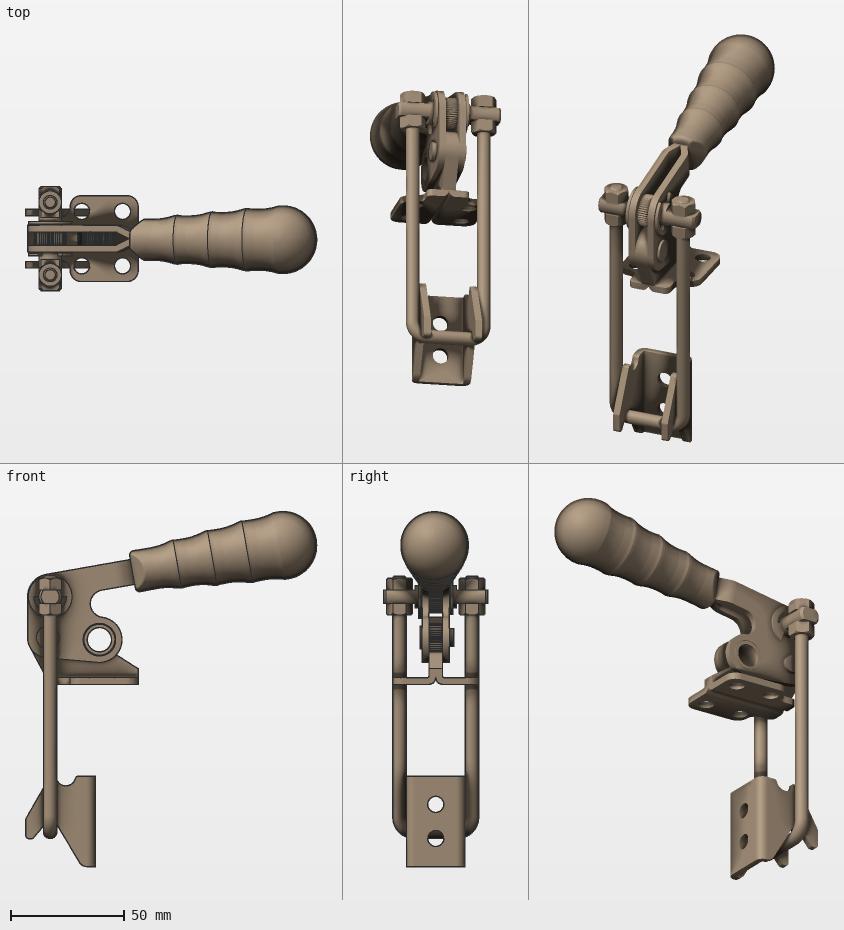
import cadquery as cq
import math


SHEET = 3.0
HANDLE_TILT = 10.0
CUT_REACH = 200.0

RIVET_X, RIVET_Z = -1.0, -18.0
RIVET_SHANK_RADIUS = 3.0
PIVOT_LOBE_RADIUS = 9.0
BUSH_X, BUSH_Z = 21.7, -19.0
BUSH_RADIUS = 7.2
TRUNNION_RADIUS = 5.0
ROD_RADIUS = 3.0
ROD_Y = 16.0

TANG_LOW, TANG_HIGH = -1.2, 10.0
TANG_MID = (TANG_LOW + TANG_HIGH) / 2
TANG_END = 75.0

BASE_BOTTOM = -38.75
BASE_RIGHT = 38.85
FLANGE_TOP = BASE_BOTTOM + SHEET
FLANGE_HALF_WIDTH = 19.0
FLANGE_LEFT = 8.75
FLANGE_CORNER = 5.0
TONGUE_HALF_WIDTH = 9.5
TONGUE_CORNER = 2.5
TONGUE_BLEND = 4.4
FLANK_ANGLE = 62.0
WEB_RIGHT_TOP = -31.8
WEB_RIGHT_SLOPE = -0.64
WEB_SHOULDER_X = 12.1
POCKET_RADIUS = BUSH_RADIUS + 0.3
POCKET_ENTRY_ANGLE = 170.0
BEND_INNER_RADIUS = 0.9
BASE_HOLE_RADIUS = 3.5
BASE_HOLE_X = (13.9, 31.9)
BASE_HOLE_Y = 12.0

LEVER_HALF_WIDTH = 2 * SHEET
LEVER_HEAD_RADIUS = 10.0
BUSH_LOBE_RADIUS = 10.0
THROAT_RADIUS = 6.0
JOG_START, JOG_END = 31.7, 37.7
JOG_OUTER_RADIUS = 7.5
JOG_INNER_RADIUS = JOG_OUTER_RADIUS - SHEET
BUSH_BORE_RADIUS = 5.3
GROOVE_WIDTH, GROOVE_DEPTH = 0.4, 0.3
RIVET_HEAD_RADIUS, RIVET_HEAD_HEIGHT = 5.0, 1.0
RIVET_TAIL_RADIUS, RIVET_TAIL_HEIGHT = 4.0, 2.0

TOOTH_COUNT = 44
TOOTH_DEPTH = 0.4

GRIP_START = 37.6
NECK_RADIUS = 9.2
NECK_ROUNDING = 2.0
CROWN_START, CROWN_PITCH, CROWN_WIDTH = 56.3, 15.65, 2.8
CROWN_RADII = (10.6, 12.1, 13.6)
CROWN_RIDGE = 0.25
WAIST_TO_CROWN = 8.8
WAIST_DROP = 0.1
HOLLOW_SAG = 0.35
BALL_RADIUS = 15.0
BALL_CENTRE = 104.9
FACET_END = 43.0
FACET_ROUNDING = 1.0
GRIP_OFFSET_Y = -0.5

TRUNNION_HALF_LENGTH = 23.0
TRUNNION_CHAMFER = 1.0
FLAT_START_Y = 9.2
FLAT_HALF_HEIGHT = 3.0
HUB_RADIUS = 7.2
CLIP_RADIUS = 9.6
CLIP_INNER_Y, CLIP_OUTER_Y = 6.4, 7.6
CLIP_SLOT_RADIUS = 7.2
CLIP_SLOT_FLOOR = TRUNNION_RADIUS + 0.2
CLIP_SLOT_SWEEP = 65.0
CLIP_MOUTH_HALF_WIDTH = 6.0
CLIP_MOUTH_ROOT_HALF_WIDTH = 3.5
CLIP_MOUTH_ROOT_Z = 3.5

ROD_TOP = 9.0
ROD_END_CHAMFER = 0.7
CROSSBAR_Z = -103.7
ROD_BEND_RADIUS = 6.5
NUT_ACROSS_FLATS = 10.0
NUT_HEIGHT = 5.2

CATCH_RIGHT = 20.0
CATCH_LEFT = -10.8
CATCH_TOP = -79.1
CATCH_HEIGHT = 40.0
CATCH_BOTTOM = CATCH_TOP - CATCH_HEIGHT
CATCH_HALF_WIDTH = ROD_Y - ROD_RADIUS
CATCH_BEND_INNER = 0.7
CATCH_HOLE_RADIUS = 3.5
CATCH_HOLE_PITCH = 15.0
FOOT_BOTTOM = -106.8
FOOT_RIGHT = -7.7
SHOULDER_Z = -98.0
MOUTH_LEFT, MOUTH_RIGHT, MOUTH_Z = -2.5, ROD_RADIUS, -100.6
HEEL_X = 14.0
TIP_ROUNDING, FOOT_ROUNDING, HEEL_ROUNDING = 1.0, 1.5, 4.0
DIMPLE_X, DIMPLE_RADIUS = 6.9, 4.3
DIMPLE_RIM_ROUNDING = 1.5


def polar(x, z, radius, degrees):
    """Point on a circle about (x, z) in the XZ plane."""
    angle = math.radians(degrees)
    return (x + radius * math.cos(angle), z + radius * math.sin(angle))


def tilted(along, across):
    """XZ point given by distances along and across the tilted handle axis."""
    angle = math.radians(HANDLE_TILT)
    return (
        along * math.cos(angle) - across * math.sin(angle),
        along * math.sin(angle) + across * math.cos(angle),
    )


def tilt(body):
    return body.rotate((0, 0, 0), (0, 1, 0), -HANDLE_TILT)


def slab(profile, y_low, y_high):
    """Extrude an XZ profile between two Y values."""
    return profile.extrude(y_high - y_low).translate((0, y_high, 0))


def disc(x, z, radius, y_low, y_high):
    return slab(cq.Workplane("XZ").center(x, z).circle(radius), y_low, y_high)


def serrated_roller(x, z, radius):
    """Roller with V teeth along Y that fills the gap between the lever cheeks."""
    step = 360.0 / TOOTH_COUNT
    points = []
    for tooth in range(TOOTH_COUNT):
        points.append(polar(x, z, radius, tooth * step))
        points.append(polar(x, z, radius - TOOTH_DEPTH, (tooth + 0.5) * step))
    return slab(cq.Workplane("XZ").polyline(points).close(), -SHEET, SHEET)


def make_base():
    flank_normal = 180.0 + 90.0 - FLANK_ANGLE
    flank_top = polar(RIVET_X, RIVET_Z, PIVOT_LOBE_RADIUS, flank_normal)
    run = (flank_top[1] - FLANGE_TOP) / math.tan(math.radians(FLANK_ANGLE))
    web_left = flank_top[0] + run

    shoulder_z = RIVET_Z + PIVOT_LOBE_RADIUS
    pocket_entry = polar(BUSH_X, BUSH_Z, POCKET_RADIUS, POCKET_ENTRY_ANGLE)
    web = (
        cq.Workplane("XZ")
        .moveTo(web_left, FLANGE_TOP)
        .lineTo(*flank_top)
        .threePointArc(
            polar(RIVET_X, RIVET_Z, PIVOT_LOBE_RADIUS, 150),
            (RIVET_X, shoulder_z),
        )
        .lineTo(WEB_SHOULDER_X, shoulder_z)
        .lineTo(*pocket_entry)
        .lineTo(BUSH_X, WEB_RIGHT_TOP + WEB_RIGHT_SLOPE * (BUSH_X - BASE_RIGHT))
        .lineTo(BASE_RIGHT, WEB_RIGHT_TOP)
        .lineTo(BASE_RIGHT, FLANGE_TOP)
        .close()
    )
    web = slab(web, -SHEET, SHEET)
    web = web.cut(disc(BUSH_X, BUSH_Z, POCKET_RADIUS, -SHEET, SHEET))
    web = web.cut(disc(RIVET_X, RIVET_Z, RIVET_SHANK_RADIUS, -SHEET, SHEET))

    plate_length = BASE_RIGHT - FLANGE_LEFT
    plate = (
        cq.Workplane("XY", origin=(FLANGE_LEFT + plate_length / 2, 0, BASE_BOTTOM))
        .rect(plate_length, 2 * FLANGE_HALF_WIDTH)
        .extrude(SHEET)
        .edges("|Z")
        .fillet(FLANGE_CORNER)
    )
    tongue_length = BASE_RIGHT - web_left
    tongue = (
        cq.Workplane("XY", origin=(web_left + tongue_length / 2, 0, BASE_BOTTOM))
        .rect(tongue_length, 2 * TONGUE_HALF_WIDTH)
        .extrude(SHEET)
        .edges("|Z and <X")
        .fillet(TONGUE_CORNER)
    )
    flange = plate.union(tongue)
    for side in (-1, 1):
        corner = cq.selectors.NearestToPointSelector(
            (FLANGE_LEFT, side * TONGUE_HALF_WIDTH, BASE_BOTTOM + SHEET / 2)
        )
        flange = flange.edges(corner).fillet(TONGUE_BLEND)
    holes = [(x, side * BASE_HOLE_Y) for x in BASE_HOLE_X for side in (-1, 1)]
    flange = flange.cut(
        cq.Workplane("XY", origin=(0, 0, BASE_BOTTOM))
        .pushPoints(holes)
        .circle(BASE_HOLE_RADIUS)
        .extrude(SHEET)
    )

    inner_bend = (
        cq.Workplane("YZ", origin=(web_left, 0, 0))
        .moveTo(-SHEET - BEND_INNER_RADIUS, FLANGE_TOP)
        .radiusArc((-SHEET, FLANGE_TOP + BEND_INNER_RADIUS), -BEND_INNER_RADIUS)
        .lineTo(SHEET, FLANGE_TOP + BEND_INNER_RADIUS)
        .radiusArc((SHEET + BEND_INNER_RADIUS, FLANGE_TOP), -BEND_INNER_RADIUS)
        .close()
        .extrude(tongue_length)
    )
    outer_bend = (
        cq.Workplane("YZ", origin=(web_left, 0, 0))
        .moveTo(-SHEET, BASE_BOTTOM)
        .radiusArc((0, FLANGE_TOP), -SHEET)
        .radiusArc((SHEET, BASE_BOTTOM), -SHEET)
        .close()
        .extrude(tongue_length)
    )
    return web.union(flange).union(inner_bend).cut(outer_bend)


def lever_outline():
    throat_across = TANG_LOW - THROAT_RADIUS
    cosine = math.cos(math.radians(HANDLE_TILT))
    sine = math.sin(math.radians(HANDLE_TILT))
    bush_along = BUSH_X * cosine + BUSH_Z * sine
    bush_across = BUSH_Z * cosine - BUSH_X * sine
    reach = BUSH_LOBE_RADIUS + THROAT_RADIUS
    throat_along = bush_along + math.sqrt(reach**2 - (throat_across - bush_across) ** 2)
    throat_x, throat_z = tilted(throat_along, throat_across)
    to_throat = math.degrees(math.atan2(throat_z - BUSH_Z, throat_x - BUSH_X))

    span = math.hypot(BUSH_X - RIVET_X, BUSH_Z - RIVET_Z)
    centre_line = math.degrees(math.atan2(BUSH_Z - RIVET_Z, BUSH_X - RIVET_X))
    growth = math.degrees(math.asin((BUSH_LOBE_RADIUS - PIVOT_LOBE_RADIUS) / span))
    below = centre_line - 90.0 - growth

    return (
        cq.Workplane("XZ")
        .moveTo(*tilted(TANG_END, TANG_HIGH))
        .lineTo(*tilted(0, LEVER_HEAD_RADIUS))
        .threePointArc(polar(0, 0, LEVER_HEAD_RADIUS, 140), (-LEVER_HEAD_RADIUS, 0))
        .lineTo(RIVET_X - PIVOT_LOBE_RADIUS, RIVET_Z)
        .threePointArc(
            polar(RIVET_X, RIVET_Z, PIVOT_LOBE_RADIUS, 225),
            polar(RIVET_X, RIVET_Z, PIVOT_LOBE_RADIUS, below),
        )
        .lineTo(*polar(BUSH_X, BUSH_Z, BUSH_LOBE_RADIUS, below))
        .threePointArc(
            polar(BUSH_X, BUSH_Z, BUSH_LOBE_RADIUS, 0),
            polar(BUSH_X, BUSH_Z, BUSH_LOBE_RADIUS, to_throat),
        )
        .threePointArc(
            polar(throat_x, throat_z, THROAT_RADIUS, 180),
            tilted(throat_along, TANG_LOW),
        )
        .lineTo(*tilted(TANG_END, TANG_LOW))
        .close()
    )


def lever_plan():
    """Cheeks, jog and tang as seen across the tilted axis."""
    jog_angle = math.atan2(SHEET, JOG_END - JOG_START)
    shift = SHEET * math.tan(jog_angle / 2)
    points = [
        (-CUT_REACH, LEVER_HALF_WIDTH),
        (JOG_START, LEVER_HALF_WIDTH),
        (JOG_END, SHEET),
        (TANG_END, SHEET),
        (TANG_END, -SHEET),
        (JOG_END, -SHEET),
        (JOG_START, -LEVER_HALF_WIDTH),
        (-CUT_REACH, -LEVER_HALF_WIDTH),
        (-CUT_REACH, -SHEET),
        (JOG_START - shift, -SHEET),
        (JOG_END - shift, 0),
        (JOG_START - shift, SHEET),
        (-CUT_REACH, SHEET),
    ]
    plan = cq.Workplane("XY").polyline(points).close().extrude(CUT_REACH / 2, both=True)
    bends = [
        (JOG_START, LEVER_HALF_WIDTH, JOG_OUTER_RADIUS),
        (JOG_START - shift, SHEET, JOG_INNER_RADIUS),
        (JOG_END, SHEET, JOG_INNER_RADIUS),
    ]
    for along, y, radius in bends:
        for side in (-1, 1):
            edge = cq.selectors.NearestToPointSelector((along, side * y, 0))
            plan = plan.edges("|Z").edges(edge).fillet(radius)
    return tilt(plan)


def make_lever():
    cheeks = slab(lever_outline(), -LEVER_HALF_WIDTH, LEVER_HALF_WIDTH).intersect(lever_plan())
    cheeks = cheeks.cut(disc(0, 0, TRUNNION_RADIUS, -LEVER_HALF_WIDTH, LEVER_HALF_WIDTH))

    head_face = -LEVER_HALF_WIDTH - RIVET_HEAD_HEIGHT
    tail_face = LEVER_HALF_WIDTH + RIVET_TAIL_HEIGHT
    rivet = (
        disc(RIVET_X, RIVET_Z, RIVET_SHANK_RADIUS, head_face, tail_face)
        .union(disc(RIVET_X, RIVET_Z, RIVET_HEAD_RADIUS, head_face, -LEVER_HALF_WIDTH))
        .union(disc(RIVET_X, RIVET_Z, RIVET_TAIL_RADIUS, LEVER_HALF_WIDTH, tail_face))
    )

    bush = serrated_roller(BUSH_X, BUSH_Z, BUSH_RADIUS)
    bore = disc(BUSH_X, BUSH_Z, BUSH_BORE_RADIUS, -LEVER_HALF_WIDTH, LEVER_HALF_WIDTH)
    lever = cheeks.union(rivet).union(bush).cut(bore)
    for side in (-1, 1):
        y_low, y_high = sorted((side * LEVER_HALF_WIDTH, side * (LEVER_HALF_WIDTH - GROOVE_DEPTH)))
        ring = disc(BUSH_X, BUSH_Z, BUSH_RADIUS, y_low, y_high)
        core = disc(BUSH_X, BUSH_Z, BUSH_RADIUS - GROOVE_WIDTH, y_low, y_high)
        lever = lever.cut(ring.cut(core))
    return lever


def make_grip(lever):
    profile = (
        cq.Workplane("XZ")
        .moveTo(GRIP_START, 0)
        .lineTo(GRIP_START, NECK_RADIUS - NECK_ROUNDING)
        .radiusArc((GRIP_START + NECK_ROUNDING, NECK_RADIUS), NECK_ROUNDING)
    )
    crowns = [(CROWN_START + i * CROWN_PITCH, radius) for i, radius in enumerate(CROWN_RADII)]
    ball_edge_x = CROWN_START + len(CROWN_RADII) * CROWN_PITCH
    ball_angle = math.acos((BALL_CENTRE - ball_edge_x) / BALL_RADIUS)
    ball_edge = (ball_edge_x, BALL_RADIUS * math.sin(ball_angle))
    stretch_start = (GRIP_START + NECK_ROUNDING, NECK_RADIUS)
    for x, radius in crowns + [ball_edge]:
        waist = (x - WAIST_TO_CROWN, stretch_start[1] - WAIST_DROP)
        hollow = ((waist[0] + x) / 2, (waist[1] + radius) / 2 - HOLLOW_SAG)
        profile = profile.lineTo(*waist).threePointArc(hollow, (x, radius))
        if (x, radius) != ball_edge:
            ridge = (x + CROWN_WIDTH / 2, radius + CROWN_RIDGE)
            stretch_start = (x + CROWN_WIDTH, radius)
            profile = profile.lineTo(*ridge).lineTo(*stretch_start)
    ball_middle = polar(BALL_CENTRE, 0, BALL_RADIUS, math.degrees(math.pi - ball_angle) / 2)
    profile = profile.threePointArc(ball_middle, (BALL_CENTRE + BALL_RADIUS, 0)).close()
    grip = profile.revolve(360, (0, 0, 0), (1, 0, 0))

    facet_run = FACET_END - GRIP_START
    for side in (-1, 1):
        wedge = (
            cq.Workplane("XY")
            .moveTo(GRIP_START, side * (NECK_RADIUS - facet_run))
            .lineTo(FACET_END, side * NECK_RADIUS)
            .lineTo(GRIP_START, side * NECK_RADIUS)
            .close()
            .extrude(NECK_RADIUS, both=True)
        )
        grip = grip.cut(wedge)
        rim = cq.selectors.NearestToPointSelector((GRIP_START, side * (NECK_RADIUS - facet_run), 0))
        grip = grip.edges("|Z").edges(rim).fillet(FACET_ROUNDING)

    grip = tilt(grip.translate((0, GRIP_OFFSET_Y, TANG_MID)))
    return grip.cut(lever)


def make_clip():
    """Clip on the -Y cheek, open towards +Z."""
    clip = disc(0, 0, CLIP_RADIUS, -CLIP_OUTER_Y, -CLIP_INNER_Y)
    mouth = (
        cq.Workplane("XZ")
        .moveTo(-CLIP_MOUTH_ROOT_HALF_WIDTH, CLIP_MOUTH_ROOT_Z)
        .lineTo(CLIP_MOUTH_ROOT_HALF_WIDTH, CLIP_MOUTH_ROOT_Z)
        .lineTo(CLIP_MOUTH_HALF_WIDTH, CLIP_RADIUS)
        .lineTo(-CLIP_MOUTH_HALF_WIDTH, CLIP_RADIUS)
        .close()
    )
    clip = clip.cut(slab(mouth, -CLIP_OUTER_Y, -CLIP_INNER_Y))
    for start, turn in ((180.0, 1), (0.0, -1)):
        middle = start + turn * CLIP_SLOT_SWEEP / 2
        end = start + turn * CLIP_SLOT_SWEEP
        slot = (
            cq.Workplane("XZ")
            .moveTo(*polar(0, 0, CLIP_SLOT_RADIUS, start))
            .threePointArc(polar(0, 0, CLIP_SLOT_RADIUS, middle), polar(0, 0, CLIP_SLOT_RADIUS, end))
            .lineTo(*polar(0, 0, CLIP_SLOT_FLOOR, end))
            .threePointArc(polar(0, 0, CLIP_SLOT_FLOOR, middle), polar(0, 0, CLIP_SLOT_FLOOR, start))
            .close()
        )
        clip = clip.cut(slab(slot, -CLIP_OUTER_Y, -CLIP_INNER_Y))
    return clip


def make_trunnion():
    pin = disc(0, 0, TRUNNION_RADIUS, -TRUNNION_HALF_LENGTH, TRUNNION_HALF_LENGTH)
    pin = pin.faces("<Y or >Y").chamfer(TRUNNION_CHAMFER)
    flat_length = TRUNNION_HALF_LENGTH - FLAT_START_Y
    flat_y = FLAT_START_Y + flat_length / 2
    flat_z = FLAT_HALF_HEIGHT + TRUNNION_RADIUS / 2
    for side in (-1, 1):
        for end in (-1, 1):
            milled = cq.Workplane("XY").box(2 * TRUNNION_RADIUS, flat_length, TRUNNION_RADIUS)
            pin = pin.cut(milled.translate((0, side * flat_y, end * flat_z)))
    clip = make_clip()
    far_clip = clip.rotate((0, 0, 0), (1, 0, 0), 180)
    trunnion = pin.union(serrated_roller(0, 0, HUB_RADIUS)).union(clip).union(far_clip)
    rod_holes = (
        cq.Workplane("XY")
        .pushPoints([(0, -ROD_Y), (0, ROD_Y)])
        .circle(ROD_RADIUS)
        .extrude(TRUNNION_RADIUS, both=True)
    )
    return trunnion.cut(rod_holes)


def make_nut():
    """Hexagon nut standing on Z = 0, flats facing X, corners rounded off at the top."""
    corner_radius = NUT_ACROSS_FLATS / math.sqrt(3)
    flat_radius = NUT_ACROSS_FLATS / 2
    hexagon = cq.Workplane("XY").polygon(6, 2 * corner_radius).extrude(NUT_HEIGHT)
    hexagon = hexagon.rotate((0, 0, 0), (0, 0, 1), 90)
    rim_drop = corner_radius - flat_radius
    envelope = (
        cq.Workplane("XZ")
        .lineTo(corner_radius, 0)
        .lineTo(corner_radius, NUT_HEIGHT - rim_drop)
        .lineTo(flat_radius, NUT_HEIGHT)
        .lineTo(0, NUT_HEIGHT)
        .close()
        .revolve(360, (0, 0, 0), (0, 1, 0))
    )
    return hexagon.intersect(envelope)


def make_ubolt():
    bend_y = ROD_Y - ROD_BEND_RADIUS
    bend_z = CROSSBAR_Z + ROD_BEND_RADIUS
    path = (
        cq.Workplane("YZ")
        .moveTo(-ROD_Y, ROD_TOP)
        .lineTo(-ROD_Y, bend_z)
        .radiusArc((-bend_y, CROSSBAR_Z), -ROD_BEND_RADIUS)
        .lineTo(bend_y, CROSSBAR_Z)
        .radiusArc((ROD_Y, bend_z), -ROD_BEND_RADIUS)
        .lineTo(ROD_Y, ROD_TOP)
    )
    ubolt = cq.Workplane("XY", origin=(0, -ROD_Y, ROD_TOP)).circle(ROD_RADIUS).sweep(path)
    ubolt = ubolt.faces(">Z").chamfer(ROD_END_CHAMFER)
    upper_nut = make_nut().translate((0, 0, FLAT_HALF_HEIGHT))
    lower_nut = upper_nut.rotate((0, 0, 0), (1, 0, 0), 180)
    for side in (-1, 1):
        for nut in (upper_nut, lower_nut):
            ubolt = ubolt.union(nut.translate((0, side * ROD_Y, 0)))
    return ubolt


def make_catch(ubolt):
    corners = [
        (0.0, CATCH_TOP, TIP_ROUNDING),
        (CATCH_LEFT, SHOULDER_Z, FOOT_ROUNDING),
        (CATCH_LEFT, FOOT_BOTTOM, FOOT_ROUNDING),
        (FOOT_RIGHT, FOOT_BOTTOM, FOOT_ROUNDING),
        (MOUTH_LEFT, MOUTH_Z, 0),
        (MOUTH_RIGHT, MOUTH_Z, 0),
        (HEEL_X, CATCH_BOTTOM, HEEL_ROUNDING),
        (CATCH_RIGHT, CATCH_BOTTOM, 0),
        (CATCH_RIGHT, CATCH_TOP, 0),
    ]
    outline = cq.Workplane("XZ").polyline([(x, z) for x, z, _ in corners]).close()
    cheek = slab(outline, -CATCH_HALF_WIDTH, CATCH_HALF_WIDTH)
    for x, z, radius in corners:
        if radius:
            cheek = cheek.edges(cq.selectors.NearestToPointSelector((x, 0, z))).fillet(radius)

    dimple = disc(DIMPLE_X, CATCH_TOP, DIMPLE_RADIUS, -CATCH_HALF_WIDTH, CATCH_HALF_WIDTH)
    cheek = cheek.cut(dimple)
    rim = cq.selectors.NearestToPointSelector((DIMPLE_X + DIMPLE_RADIUS, 0, CATCH_TOP))
    cheek = cheek.edges("|Y").edges(rim).fillet(DIMPLE_RIM_ROUNDING)

    notch_depth = 2 * ROD_RADIUS
    notch = cq.Workplane("XY").box(2 * ROD_RADIUS, 2 * CATCH_HALF_WIDTH, notch_depth)
    cheek = cheek.cut(notch.translate((0, 0, CROSSBAR_Z - notch_depth / 2))).cut(ubolt)

    inner_half_width = CATCH_HALF_WIDTH - SHEET
    channel = cq.Workplane("XY").box(CUT_REACH, 2 * inner_half_width, CUT_REACH)
    channel = channel.translate((CATCH_RIGHT - SHEET - CUT_REACH / 2, 0, CATCH_TOP))
    channel = channel.edges("|Z and >X").fillet(CATCH_BEND_INNER)
    catch = cheek.cut(channel).edges("|Z and >X").fillet(SHEET + CATCH_BEND_INNER)

    middle_z = (CATCH_TOP + CATCH_BOTTOM) / 2
    bolt_holes = (
        cq.Workplane("YZ", origin=(CATCH_RIGHT - SHEET, 0, middle_z))
        .pushPoints([(0, -CATCH_HOLE_PITCH / 2), (0, CATCH_HOLE_PITCH / 2)])
        .circle(CATCH_HOLE_RADIUS)
        .extrude(SHEET)
    )
    return catch.cut(bolt_holes)


base = make_base()
lever = make_lever()
grip = make_grip(lever)
trunnion = make_trunnion()
ubolt = make_ubolt()
catch = make_catch(ubolt)

bodies = (base, lever, grip, trunnion, ubolt, catch)
result = cq.Compound.makeCompound([body.solids().val() for body in bodies])